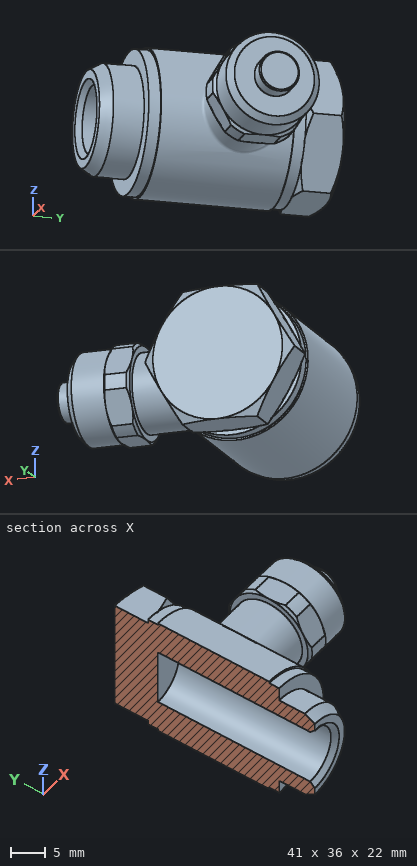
import cadquery as cq
import math


HEXAGON_SIDES = 6

HEAD_FLATS = 20.0
HEAD_LENGTH = 6.0
HEAD_CHAMFER_ANGLE = 30.0

BODY_DIAMETER = 22.0
BODY_LENGTH = 20.0
WASHER_DIAMETER = 21.4
WASHER_THICKNESS = 1.8

OVERALL_LENGTH = 36.0
SPIGOT_DIAMETER = 16.5
SPIGOT_TAPER_LENGTH = 1.8
SPIGOT_TAPER_ANGLE = 30.0
BORE_DIAMETER = 10.0
BORE_CHAMFER = 0.85

ARM_FROM_HEAD_END = 15.3
ARM_DIAMETER = 12.0
ARM_FILLET = 0.5
COLLAR_START = 16.75
COLLAR_LENGTH = 4.0
COLLAR_FLATS = 14.0
COLLAR_CORNER_DIAMETER = 15.0
COLLAR_CHAMFER_LENGTH = 0.35
NUT_DIAMETER = COLLAR_FLATS
NUT_END = 26.75
NUT_CHAMFER = 1.0
TUBE_DIAMETER = 6.0
TUBE_END = 29.5
TUBE_CHAMFER = 0.2

HEAD_SEAT = OVERALL_LENGTH - HEAD_LENGTH
BODY_BACK = HEAD_SEAT - WASHER_THICKNESS
BODY_FRONT = BODY_BACK - BODY_LENGTH
SPIGOT_SEAT = BODY_FRONT - WASHER_THICKNESS
ARM_Y = OVERALL_LENGTH - ARM_FROM_HEAD_END
BORE_END = BODY_BACK


def bolt_plane(start):
    """Plane across the bolt axis at Y = start, facing +Y, with local x along +Z."""
    return cq.Plane(origin=(0, start, 0), xDir=(0, 0, 1), normal=(0, 1, 0))


def arm_plane(start):
    """Plane across the arm axis at X = start, facing +X, with local x along +Y."""
    return cq.Plane(origin=(start, ARM_Y, 0), xDir=(0, 1, 0), normal=(1, 0, 0))


def across_corners(flats):
    """Size of a regular hexagon across its corners, from its size across flats."""
    return flats / math.cos(math.pi / HEXAGON_SIDES)


def cylinder(plane, diameter, length):
    """Cylinder standing on a plane."""
    return cq.Workplane(plane).circle(diameter / 2).extrude(length)


def turned(plane, profile):
    """Solid of revolution about a plane's normal, from (radius, height) points."""
    section = cq.Plane(origin=plane.origin, xDir=plane.xDir, normal=plane.yDir * -1)
    return cq.Workplane(section).polyline(profile).close().revolve(360, (0, 0), (0, 1))


def chamfered_hexagon(plane, turn, flats, length, corner_diameter, end_diameter, chamfer_length):
    """Hexagonal prism trimmed to a cylinder that has a cone at each end.

    The turn, in degrees, rotates the corners away from the local x direction.
    """
    prism = (
        cq.Workplane(plane)
        .transformed(rotate=(0, 0, turn))
        .polygon(HEXAGON_SIDES, across_corners(flats))
        .extrude(length)
    )
    envelope = turned(
        plane,
        [
            (0, 0),
            (end_diameter / 2, 0),
            (corner_diameter / 2, chamfer_length),
            (corner_diameter / 2, length - chamfer_length),
            (end_diameter / 2, length),
            (0, length),
        ],
    )
    return prism.intersect(envelope)


def make_head():
    """Bolt head with corners on X, chamfered at both ends to a circle touching the flats."""
    corners = across_corners(HEAD_FLATS)
    chamfer_length = (corners - HEAD_FLATS) / 2 * math.tan(math.radians(HEAD_CHAMFER_ANGLE))
    return chamfered_hexagon(
        bolt_plane(HEAD_SEAT), 90, HEAD_FLATS, HEAD_LENGTH, corners, HEAD_FLATS, chamfer_length
    )


def make_spigot():
    """Spigot with a tapered open end."""
    radius = SPIGOT_DIAMETER / 2
    tip_radius = radius - SPIGOT_TAPER_LENGTH * math.tan(math.radians(SPIGOT_TAPER_ANGLE))
    return turned(
        bolt_plane(0),
        [
            (0, 0),
            (tip_radius, 0),
            (radius, SPIGOT_TAPER_LENGTH),
            (radius, SPIGOT_SEAT),
            (0, SPIGOT_SEAT),
        ],
    )


def make_washers():
    """Sealing washers at the two ends of the body, as solid discs."""
    front = cylinder(bolt_plane(SPIGOT_SEAT), WASHER_DIAMETER, WASHER_THICKNESS)
    back = cylinder(bolt_plane(BODY_BACK), WASHER_DIAMETER, WASHER_THICKNESS)
    return front.add(back).combine()


def make_body_with_arm():
    """Body and arm, blended by a small fillet where they meet."""
    body = cylinder(bolt_plane(BODY_FRONT), BODY_DIAMETER, BODY_LENGTH)
    arm = cylinder(arm_plane(0), ARM_DIAMETER, COLLAR_START)
    joint = cq.selectors.BoxSelector(
        (BODY_DIAMETER / 4, BODY_FRONT, -BODY_DIAMETER / 2),
        (BODY_DIAMETER / 2, BODY_BACK, BODY_DIAMETER / 2),
    )
    return body.union(arm).edges(joint).fillet(ARM_FILLET)


def make_collar():
    """Hexagonal collar with flats facing +Z and -Z and rounded-off corners."""
    return chamfered_hexagon(
        arm_plane(COLLAR_START),
        0,
        COLLAR_FLATS,
        COLLAR_LENGTH,
        COLLAR_CORNER_DIAMETER,
        COLLAR_FLATS,
        COLLAR_CHAMFER_LENGTH,
    )


def make_nut_and_tube():
    """Round nut and the tube stub that leaves it."""
    nut_start = COLLAR_START + COLLAR_LENGTH
    nut = cylinder(arm_plane(nut_start), NUT_DIAMETER, NUT_END - nut_start)
    tube = cylinder(arm_plane(NUT_END), TUBE_DIAMETER, TUBE_END - NUT_END)
    return nut.faces(">X").chamfer(NUT_CHAMFER).union(tube.faces(">X").chamfer(TUBE_CHAMFER))


def make_bore():
    """Blind bore along the bolt axis with a chamfered mouth."""
    radius = BORE_DIAMETER / 2
    return turned(
        bolt_plane(0),
        [
            (0, 0),
            (radius + BORE_CHAMFER, 0),
            (radius, BORE_CHAMFER),
            (radius, BORE_END),
            (0, BORE_END),
        ],
    )


result = (
    make_body_with_arm()
    .union(make_washers())
    .union(make_head())
    .union(make_spigot())
    .union(make_collar())
    .union(make_nut_and_tube())
    .cut(make_bore())
)